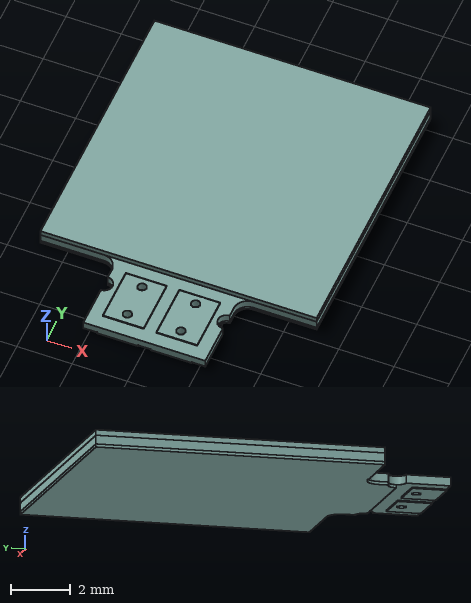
import cadquery as cq

panel_side = 10.0
overall_length = 13.0
tab_length = overall_length - panel_side
tab_width = 4.42
root_radius = 0.5

stiffener_thickness = 0.1
board_thickness = 0.3
cover_thickness = 0.2
board_bottom = stiffener_thickness
board_top = board_bottom + board_thickness

stiffener_reach = 1.2

notch_radius = 0.3
notch_y = -1.16

pad_width = 1.48
pad_spacing = 1.94
pad_thickness = 0.04
top_pad_length = 2.02
top_pad_start = -0.48
bottom_pad_length = 1.2
bottom_pad_start = bottom_pad_length - tab_length

hole_diameter = 0.31
hole_rows = (-0.85, -2.13)

pad_centers = (-pad_spacing / 2, pad_spacing / 2)


def panel_slab(thickness, bottom):
    """Square slab with its front edge on Y = 0."""
    return (
        cq.Workplane("XY", origin=(0, panel_side / 2, bottom))
        .rect(panel_side, panel_side)
        .extrude(thickness)
    )


def tab_slab(length, thickness, bottom):
    """Panel and tab in one sheet, with filleted tab roots and side notches."""
    tab = (
        cq.Workplane("XY", origin=(0, -length / 2, bottom))
        .rect(tab_width, length)
        .extrude(thickness)
    )
    tab_corner = cq.selectors.BoxSelector(
        (-tab_width, -root_radius / 2, bottom - thickness),
        (tab_width, root_radius / 2, bottom + 2 * thickness),
    )
    sheet = panel_slab(thickness, bottom).union(tab).edges(tab_corner).edges("|Z").fillet(root_radius)
    notches = (
        cq.Workplane("XY", origin=(0, notch_y, bottom))
        .pushPoints([(-tab_width / 2, 0), (tab_width / 2, 0)])
        .circle(notch_radius)
        .extrude(thickness)
    )
    return sheet.cut(notches)


def pad_pair(start, length, bottom):
    """Two pads side by side, running from Y = start towards -Y."""
    return (
        cq.Workplane("XY", origin=(0, start - length / 2, bottom))
        .pushPoints([(x, 0) for x in pad_centers])
        .rect(pad_width, length)
        .extrude(pad_thickness)
    )


def make_board():
    """Circuit board with its contact pads and the holes through them."""
    board = tab_slab(tab_length, board_thickness, board_bottom)
    board = board.union(pad_pair(top_pad_start, top_pad_length, board_top))
    board = board.union(pad_pair(bottom_pad_start, bottom_pad_length, board_bottom - pad_thickness))
    holes = (
        cq.Workplane("XY")
        .pushPoints([(x, y) for x in pad_centers for y in hole_rows])
        .circle(hole_diameter / 2)
        .extrude(board_top + pad_thickness)
    )
    return board.cut(holes)


stiffener = tab_slab(stiffener_reach, stiffener_thickness, 0)
board = make_board()
cover = panel_slab(cover_thickness, board_top)

result = cq.Compound.makeCompound([stiffener.val(), board.val(), cover.val()])